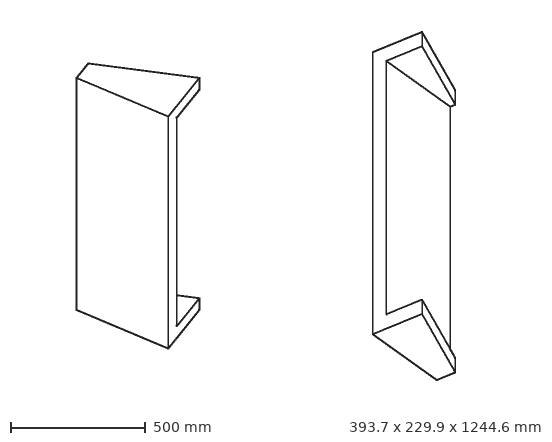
import cadquery as cq
import math

INCH = 25.4

width = 15.5 * INCH
height = 49.0 * INCH
full_depth = 229.91
thickness = 2.5 * INCH

slope_angle = 20.0
short_depth = full_depth - width * math.tan(math.radians(slope_angle))


def make_panel():
    """Upright front panel, full height, with its front face on Y = 0."""
    return cq.Workplane("XY").box(width, thickness, height, centered=False)


def make_end_plate(bottom_z):
    """Horizontal tapered plate whose underside lies at bottom_z."""
    return (
        cq.Workplane("XY", origin=(0, 0, bottom_z))
        .moveTo(0, 0)
        .lineTo(width, 0)
        .lineTo(width, full_depth)
        .lineTo(0, short_depth)
        .close()
        .extrude(thickness)
    )


result = make_panel()
for plate_bottom in (0, height - thickness):
    result = result.union(make_end_plate(plate_bottom))